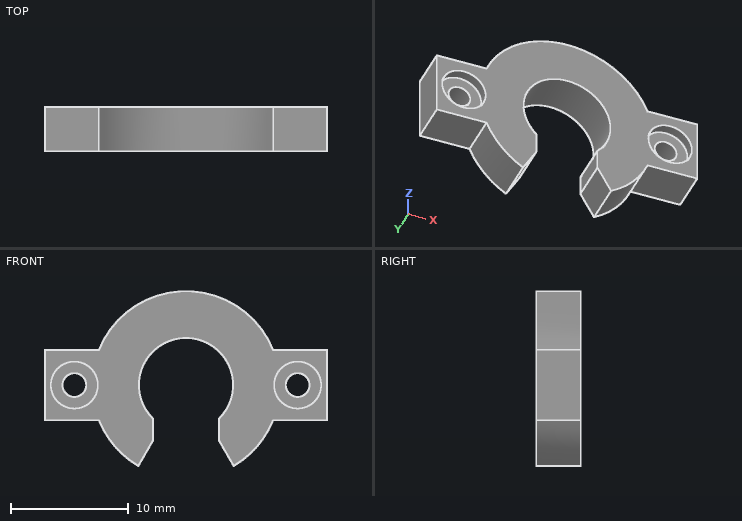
import cadquery as cq
import math

thickness = 3.8
outer_radius = 8.0
bore_radius = 4.0

overall_width = 24.0
ear_height = 6.0
hole_spacing = 19.0
hole_diameter = 2.0
counterbore_diameter = 4.0
counterbore_depth = 1.0

mouth_width = 5.6
mouth_flare_angle = 30.0
flare_start_z = -4.72

front_y = -thickness / 2


def make_body():
    """Ring blank joined to the bar that forms both ears."""
    disc = cq.Workplane("XZ").circle(outer_radius).extrude(thickness / 2, both=True)
    bar = cq.Workplane("XY").box(overall_width, thickness, ear_height)
    return disc.union(bar)


def make_bore():
    """Cylinder that opens the ring."""
    return cq.Workplane("XZ").circle(bore_radius).extrude(thickness / 2, both=True)


def make_mouth():
    """Parallel throat from the bore, flaring outward below flare_start_z."""
    half_width = mouth_width / 2
    bottom_z = -outer_radius
    flare_run = (flare_start_z - bottom_z) * math.tan(math.radians(mouth_flare_angle))
    half_bottom = half_width + flare_run
    return (
        cq.Workplane("XZ")
        .moveTo(-half_width, 0)
        .lineTo(half_width, 0)
        .lineTo(half_width, flare_start_z)
        .lineTo(half_bottom, bottom_z)
        .lineTo(-half_bottom, bottom_z)
        .lineTo(-half_width, flare_start_z)
        .close()
        .extrude(thickness / 2, both=True)
    )


def cut_ear_holes(body):
    """Through hole in each ear, counterbored from the front (-Y) face."""
    hole_centres = [(-hole_spacing / 2, 0), (hole_spacing / 2, 0)]
    return (
        cq.Workplane("XZ", origin=(0, front_y, 0))
        .add(body)
        .pushPoints(hole_centres)
        .cboreHole(hole_diameter, counterbore_diameter, counterbore_depth)
    )


result = cut_ear_holes(make_body().cut(make_bore()).cut(make_mouth()))